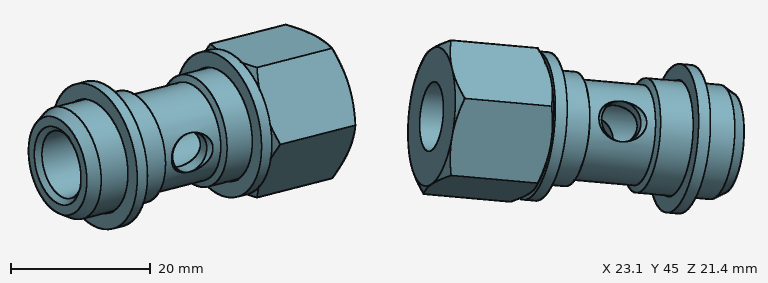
import cadquery as cq
import math

LENGTH = 45.0

HEAD_LENGTH = 15.0
HEAD_CORNERS = 23.1
HEAD_FLATS = HEAD_CORNERS * math.cos(math.radians(30))
HEAD_CHAMFER_ANGLE = 30.0
HEAD_SEAT_Y = LENGTH - HEAD_LENGTH

SHANK_DIAMETER = 16.5
NECK_DIAMETER = 14.5
NECK_START_Y = 13.5
NECK_LENGTH = 10.0
NECK_END_Y = NECK_START_Y + NECK_LENGTH
NECK_TAPER_LENGTH = 0.4
TIP_DIAMETER = NECK_DIAMETER
TIP_TAPER_LENGTH = 1.8

BORE_DIAMETER = 10.0
BORE_MOUTH_DIAMETER = 11.55
CROSS_HOLE_DIAMETER = 6.0
CROSS_HOLE_Y = NECK_START_Y + NECK_LENGTH / 2

WASHER_OUTER_DIAMETER = 21.4
WASHER_BORE_DIAMETER = 16.8
WASHER_THICKNESS = 1.8
TIP_WASHER_Y = 6.4
HEAD_WASHER_Y = HEAD_SEAT_Y - WASHER_THICKNESS


def revolve_about_y(points):
    """Revolve a closed (radius, y) profile about the Y axis."""
    return cq.Workplane("XY").polyline(points).close().revolve(360, (0, 0, 0), (0, 1, 0))


def y_plane(y):
    """Workplane at height y whose normal points along +Y."""
    return cq.Workplane(cq.Plane(origin=(0, y, 0), xDir=(1, 0, 0), normal=(0, 1, 0)))


def make_head():
    """Hexagon with corners on the X axis, its corners bevelled at both ends."""
    hexagon = y_plane(HEAD_SEAT_Y).polygon(6, HEAD_CORNERS).extrude(HEAD_LENGTH)
    face_radius = HEAD_FLATS / 2
    corner_radius = HEAD_CORNERS / 2
    bevel = (corner_radius - face_radius) * math.tan(math.radians(HEAD_CHAMFER_ANGLE))
    clearance = 0.45
    outer_radius = corner_radius + clearance
    bevel += clearance * math.tan(math.radians(HEAD_CHAMFER_ANGLE))
    envelope = revolve_about_y([
        (0, HEAD_SEAT_Y),
        (face_radius, HEAD_SEAT_Y),
        (outer_radius, HEAD_SEAT_Y + bevel),
        (outer_radius, LENGTH - bevel),
        (face_radius, LENGTH),
        (0, LENGTH),
    ])
    return hexagon.intersect(envelope)


def make_shank():
    """Round shank with a tapered tip and a neck that tapers in at both ends."""
    shank_radius = SHANK_DIAMETER / 2
    neck_radius = NECK_DIAMETER / 2
    return revolve_about_y([
        (0, 0),
        (TIP_DIAMETER / 2, 0),
        (shank_radius, TIP_TAPER_LENGTH),
        (shank_radius, NECK_START_Y - NECK_TAPER_LENGTH),
        (neck_radius, NECK_START_Y),
        (neck_radius, NECK_END_Y),
        (shank_radius, NECK_END_Y + NECK_TAPER_LENGTH),
        (shank_radius, HEAD_SEAT_Y),
        (0, HEAD_SEAT_Y),
    ])


def make_bore():
    """Through bore with a 45 degree mouth at the tip."""
    bore_radius = BORE_DIAMETER / 2
    mouth_radius = BORE_MOUTH_DIAMETER / 2
    return revolve_about_y([
        (0, 0),
        (mouth_radius, 0),
        (bore_radius, mouth_radius - bore_radius),
        (bore_radius, LENGTH),
        (0, LENGTH),
    ])


def make_cross_hole():
    """Hole along X with a 45 degree countersink on each side of the neck."""
    hole_radius = CROSS_HOLE_DIAMETER / 2
    outer_x = SHANK_DIAMETER / 2
    cone_x = math.sqrt((NECK_DIAMETER / 2) ** 2 - hole_radius ** 2)
    mouth_radius = hole_radius + outer_x - cone_x
    profile = [
        (-outer_x, 0),
        (-outer_x, mouth_radius),
        (-cone_x, hole_radius),
        (cone_x, hole_radius),
        (outer_x, mouth_radius),
        (outer_x, 0),
    ]
    hole = cq.Workplane("XY").polyline(profile).close().revolve(360, (0, 0, 0), (1, 0, 0))
    return hole.translate((0, CROSS_HOLE_Y, 0))


def make_bolt():
    """Hollow bolt: head and shank, less the bore and the cross hole."""
    return make_head().union(make_shank()).cut(make_bore()).cut(make_cross_hole())


def make_washer(start_y):
    """Flat ring, loose on the shank, starting at start_y."""
    ring = y_plane(start_y).circle(WASHER_OUTER_DIAMETER / 2).circle(WASHER_BORE_DIAMETER / 2)
    return ring.extrude(WASHER_THICKNESS)


bolt = make_bolt()
washers = [make_washer(start_y) for start_y in (TIP_WASHER_Y, HEAD_WASHER_Y)]

result = cq.Compound.makeCompound([bolt.val(), *[washer.val() for washer in washers]])